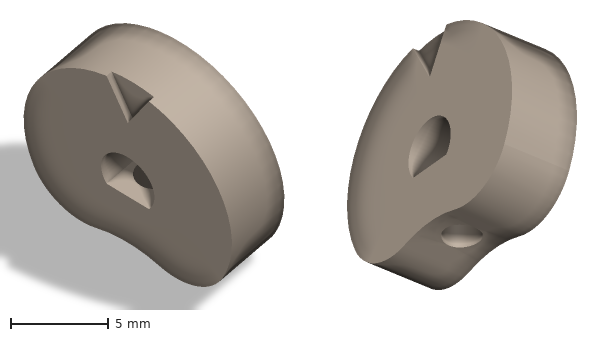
import cadquery as cq
import math

thickness = 4.2
disc_radius = 6.99
lobe_radius = 3.5
hollow_radius = 6.99
lowest_z = -4.98

bore_radius = 1.79
bore_flat_z = -1.09

screw_hole_radius = 1.08

mark_tip_z = 4.32
mark_half_angle = math.radians(29.4)
mark_depth = 0.4

lobe_z = lowest_z + lobe_radius
lobe_x = math.sqrt((disc_radius - lobe_radius) ** 2 - lobe_z**2)
hollow_z = lobe_z - math.sqrt((lobe_radius + hollow_radius) ** 2 - lobe_x**2)
hollow_top_z = hollow_z + hollow_radius

disc_tangent_scale = disc_radius / (disc_radius - lobe_radius)
disc_end_x = lobe_x * disc_tangent_scale
disc_end_z = lobe_z * disc_tangent_scale
hollow_fraction = hollow_radius / (hollow_radius + lobe_radius)
hollow_end_x = lobe_x * hollow_fraction
hollow_end_z = hollow_z + (lobe_z - hollow_z) * hollow_fraction


def front_plane():
    """XZ plane at Y = 0; extruding by a negative length goes toward +Y."""
    return cq.Workplane("XZ")


def make_body():
    return (
        front_plane()
        .moveTo(-disc_end_x, disc_end_z)
        .threePointArc((0, disc_radius), (disc_end_x, disc_end_z))
        .threePointArc((lobe_x, lowest_z), (hollow_end_x, hollow_end_z))
        .threePointArc((0, hollow_top_z), (-hollow_end_x, hollow_end_z))
        .threePointArc((-lobe_x, lowest_z), (-disc_end_x, disc_end_z))
        .close()
        .extrude(-thickness)
    )


def make_bore():
    flat_half_width = math.sqrt(bore_radius**2 - bore_flat_z**2)
    return (
        front_plane()
        .moveTo(-flat_half_width, bore_flat_z)
        .threePointArc((0, bore_radius), (flat_half_width, bore_flat_z))
        .close()
        .extrude(-thickness)
    )


def make_screw_hole():
    return (
        cq.Workplane("XY", origin=(0, thickness / 2, lowest_z))
        .circle(screw_hole_radius)
        .extrude(-lowest_z)
    )


def make_pointer_mark():
    half_width = (disc_radius - mark_tip_z) * math.tan(mark_half_angle)
    return (
        front_plane()
        .moveTo(0, mark_tip_z)
        .lineTo(half_width, disc_radius)
        .lineTo(-half_width, disc_radius)
        .close()
        .extrude(-mark_depth)
    )


result = make_body().cut(make_bore()).cut(make_screw_hole()).cut(make_pointer_mark())